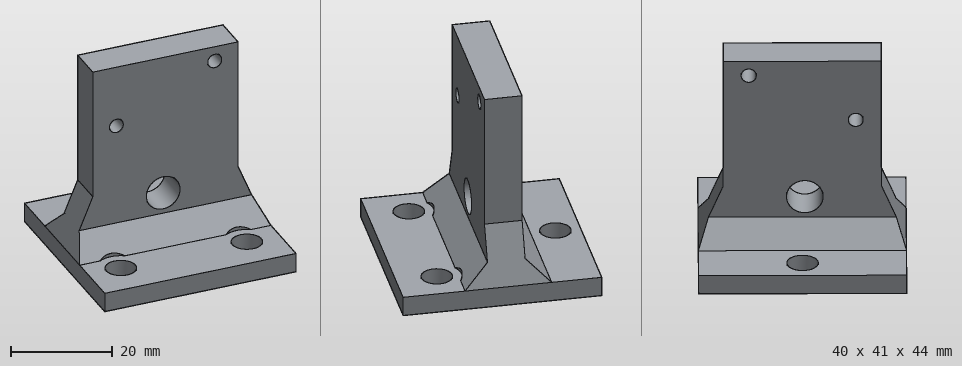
import cadquery as cq

base_x = 39.95
base_y = 41.0
base_z = 4.15
base_left = -base_x / 2

total_height = 44
plate_left = base_left + 15.0
plate_thickness = 7.55
plate_right = plate_left + plate_thickness
plate_width = 31.15
foot_reach = 4.95
foot_height = 4.85
taper_top = 15.95

mount_diameter = 6.2
head_clearance_diameter = 10.0
left_mount_x = base_left + 5.05
right_mount_x = base_left + 31.72
right_mount_y = 13.5
mount_points = [
    (left_mount_x, 0),
    (right_mount_x, right_mount_y),
    (right_mount_x, -right_mount_y),
]

cross_holes = [
    (10.55, 40.8, 3.0),
    (-10.5, 30.8, 2.95),
    (-0.5, 13.55, 7.2),
]


def make_upright():
    """Intersect the footed section along Y with the flared outline along X."""
    foot_top = base_z + foot_height
    section = (
        cq.Workplane("XZ")
        .polyline([
            (plate_left - foot_reach, base_z),
            (plate_right + foot_reach, base_z),
            (plate_right, foot_top),
            (plate_right, total_height),
            (plate_left, total_height),
            (plate_left, foot_top),
        ])
        .close()
        .extrude(base_y / 2, both=True)
    )
    outline = (
        cq.Workplane("YZ")
        .polyline([
            (-base_y / 2, base_z),
            (base_y / 2, base_z),
            (plate_width / 2, taper_top),
            (plate_width / 2, total_height),
            (-plate_width / 2, total_height),
            (-plate_width / 2, taper_top),
        ])
        .close()
        .extrude(base_x / 2, both=True)
    )
    return section.intersect(outline)


def vertical_cylinders(points, diameter, bottom):
    """Cylinders standing at the given XY points, tall enough to clear the feet."""
    return (
        cq.Workplane("XY", origin=(0, 0, bottom))
        .pushPoints(points)
        .circle(diameter / 2)
        .extrude(total_height)
    )


def cross_cylinder(y, z, diameter):
    """Cylinder along X passing right through the upright."""
    return (
        cq.Workplane("YZ")
        .center(y, z)
        .circle(diameter / 2)
        .extrude(base_x / 2, both=True)
    )


base = cq.Workplane("XY").box(base_x, base_y, base_z, centered=(True, True, False))
result = base.union(make_upright())

result = result.cut(vertical_cylinders(mount_points, mount_diameter, 0))
right_mounts = mount_points[1:]
result = result.cut(vertical_cylinders(right_mounts, head_clearance_diameter, base_z))

for y, z, diameter in cross_holes:
    result = result.cut(cross_cylinder(y, z, diameter))